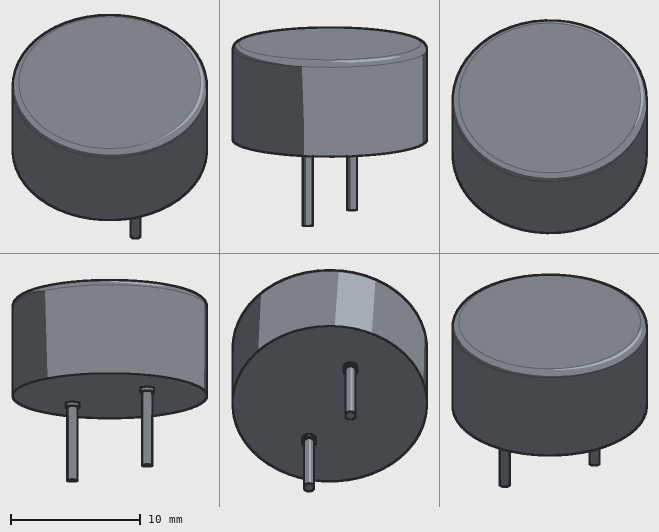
import cadquery as cq

body_diameter = 15.0
body_height = 7.5
top_edge_radius = 0.5

pin_spacing = 7.62
pin_diameter = 0.8
pin_length = 6.1
collar_diameter = 1.1
collar_height = 0.3


def make_body():
    """Plain cylinder with a rounded top edge."""
    body = cq.Workplane("XY").circle(body_diameter / 2).extrude(body_height)
    return body.faces(">Z").edges().fillet(top_edge_radius)


def make_pin(x):
    """Pin and its collar, hanging down from the housing underside at x."""
    base = cq.Workplane("XY").center(x, 0)
    collar = base.circle(collar_diameter / 2).extrude(-collar_height)
    pin = base.circle(pin_diameter / 2).extrude(-pin_length)
    return collar.union(pin)


result = make_body()
for side in (-1, 1):
    result = result.union(make_pin(side * pin_spacing / 2))